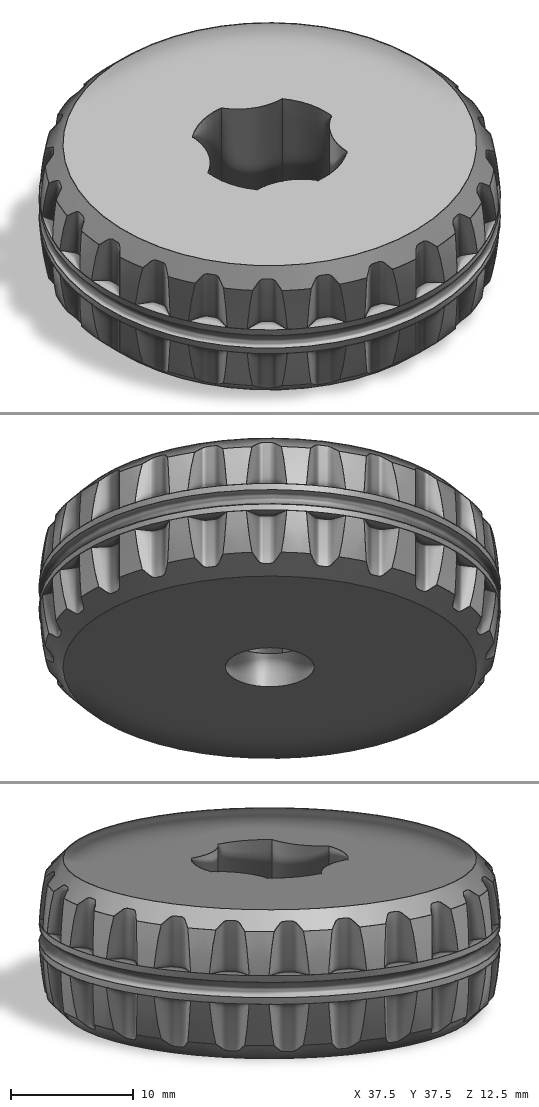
import cadquery as cq
import math

OUTER_RADIUS = 18.75
HEIGHT = 12.5
HALF_HEIGHT = HEIGHT / 2
CROWN_ARC_RADIUS = 24.38
CHAMFER = 1.45

BAND_HALF_WIDTH = 1.2
GROOVE_HALF_WIDTH = 0.65
GROOVE_DEPTH = 0.55

FLUTE_COUNT = 24
FLUTE_DEPTH = 1.15
FLUTE_FLOOR_HALF = 0.28
FLUTE_CORNER_RADIUS = 0.65
FLANK_ANGLE = math.radians(45)
FLANK_HALF = 1.55
MOUTH_HALF = 1.75

BORE_RADIUS = 7.2 / 2
SOCKET_RADIUS = 6.38
SOCKET_DEPTH = 9.5
LOBE_COUNT = 4
RIB_ARC_RADIUS = 5.25
RIB_INNER_RADIUS = 5.18


def crown_radius(z):
    """Rim radius at height z above the mid plane."""
    bulge_drop = CROWN_ARC_RADIUS - math.sqrt(CROWN_ARC_RADIUS**2 - z**2)
    return OUTER_RADIUS - bulge_drop


def make_body():
    crown_end_z = HALF_HEIGHT - CHAMFER
    crown_end_radius = crown_radius(crown_end_z)
    crown_mid_z = (BAND_HALF_WIDTH + crown_end_z) / 2
    crown_start = (crown_radius(BAND_HALF_WIDTH), BAND_HALF_WIDTH)
    half_profile = (
        cq.Workplane("XZ")
        .lineTo(OUTER_RADIUS - GROOVE_DEPTH, 0)
        .lineTo(OUTER_RADIUS, 0)
        .lineTo(OUTER_RADIUS, BAND_HALF_WIDTH)
        .lineTo(*crown_start)
        .threePointArc((crown_radius(crown_mid_z), crown_mid_z), (crown_end_radius, crown_end_z))
        .lineTo(crown_end_radius - CHAMFER, HALF_HEIGHT)
        .lineTo(0, HALF_HEIGHT)
        .close()
    )
    upper_half = half_profile.revolve(360, (0, 0), (0, 1))
    return upper_half.union(upper_half.mirror("XY"))


def make_groove():
    return (
        cq.Workplane("XZ")
        .moveTo(OUTER_RADIUS, -GROOVE_HALF_WIDTH)
        .threePointArc((OUTER_RADIUS - GROOVE_DEPTH, 0), (OUTER_RADIUS, GROOVE_HALF_WIDTH))
        .lineTo(OUTER_RADIUS + GROOVE_DEPTH, GROOVE_HALF_WIDTH)
        .lineTo(OUTER_RADIUS + GROOVE_DEPTH, -GROOVE_HALF_WIDTH)
        .close()
        .revolve(360, (0, 0), (0, 1))
    )


def make_flute():
    """Cutter for one flute on the +X side, above the band."""
    floor_x = OUTER_RADIUS - FLUTE_DEPTH
    sin_flank = math.sin(FLANK_ANGLE)
    cos_flank = math.cos(FLANK_ANGLE)
    sin_mid = math.sin(FLANK_ANGLE / 2)
    cos_mid = math.cos(FLANK_ANGLE / 2)
    corner_mid_x = floor_x + FLUTE_CORNER_RADIUS * (1 - cos_mid)
    corner_mid_y = FLUTE_FLOOR_HALF + FLUTE_CORNER_RADIUS * sin_mid
    corner_x = floor_x + FLUTE_CORNER_RADIUS * (1 - cos_flank)
    corner_y = FLUTE_FLOOR_HALF + FLUTE_CORNER_RADIUS * sin_flank
    flank_x = corner_x + (FLANK_HALF - corner_y) * math.tan(FLANK_ANGLE)
    mouth_x = math.sqrt(OUTER_RADIUS**2 - MOUTH_HALF**2)
    clear_x = OUTER_RADIUS + FLUTE_DEPTH

    half_flute = (
        cq.Workplane("XY")
        .workplane(offset=BAND_HALF_WIDTH)
        .moveTo(floor_x, 0)
        .lineTo(floor_x, FLUTE_FLOOR_HALF)
        .threePointArc((corner_mid_x, corner_mid_y), (corner_x, corner_y))
        .lineTo(flank_x, FLANK_HALF)
        .tangentArcPoint((mouth_x, MOUTH_HALF), relative=False)
        .lineTo(clear_x, MOUTH_HALF)
        .lineTo(clear_x, 0)
        .close()
        .extrude(HALF_HEIGHT - BAND_HALF_WIDTH)
    )
    return half_flute.union(half_flute.mirror("XZ"))


def cut_flutes(body):
    flute = make_flute()
    flute_pair = flute.union(flute.mirror("XY"))
    for index in range(FLUTE_COUNT):
        angle = index * 360 / FLUTE_COUNT
        body = body.cut(flute_pair.rotate((0, 0, 0), (0, 0, 1), angle))
    return body


def make_socket():
    """Round socket with convex ribs left standing between the lobes."""
    socket_floor = HALF_HEIGHT - SOCKET_DEPTH
    plane = cq.Workplane("XY").workplane(offset=socket_floor)
    ribs = (
        plane.polarArray(RIB_INNER_RADIUS + RIB_ARC_RADIUS, 180 / LOBE_COUNT, 360, LOBE_COUNT)
        .circle(RIB_ARC_RADIUS)
        .extrude(SOCKET_DEPTH)
    )
    return plane.circle(SOCKET_RADIUS).extrude(SOCKET_DEPTH).cut(ribs)


def make_bore():
    return cq.Workplane("XY").circle(BORE_RADIUS).extrude(HALF_HEIGHT, both=True)


wheel = cut_flutes(make_body().cut(make_groove()))
result = wheel.cut(make_socket()).cut(make_bore())